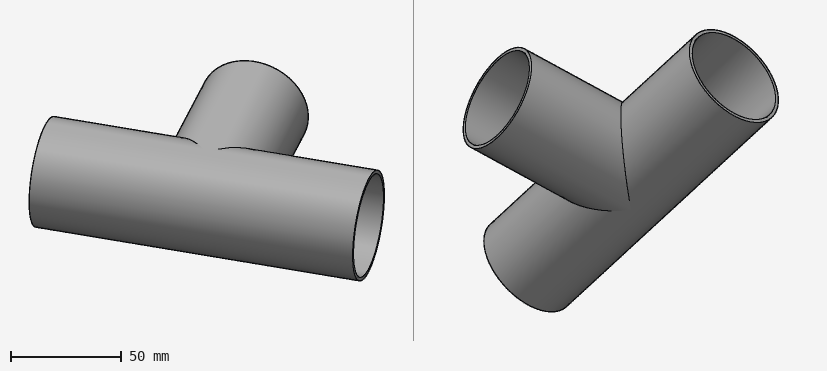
import cadquery as cq

OUTER_DIAMETER = 50.8
BORE_DIAMETER = 47.5
RUN_LENGTH = 152.4
BRANCH_REACH = 76.2


def run_cylinder(diameter):
    """Cylinder along X, centred on the origin."""
    return cq.Workplane("YZ").circle(diameter / 2).extrude(RUN_LENGTH / 2, both=True)


def branch_cylinder(diameter):
    """Cylinder from the run axis out to the branch end at +Y."""
    return cq.Workplane("XZ").circle(diameter / 2).extrude(-BRANCH_REACH)


def tee(diameter):
    """Run and branch cylinders of one diameter, joined."""
    return run_cylinder(diameter).union(branch_cylinder(diameter))


result = tee(OUTER_DIAMETER).cut(tee(BORE_DIAMETER))